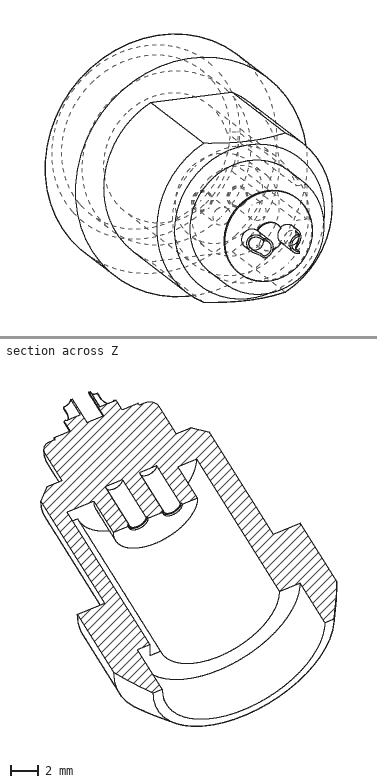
import cadquery as cq
import math

total_length = 26.7
head_taper_end = 3.0
head_end = 8.97
body_end = 20.4
rear_end = 23.98
insulator_end = 24.16
boss_end = 24.3

head_radius = 9.252
head_front_radius = 7.5
taper_bulge = 0.05
body_radius = 7.0
body_chamfer_length = 1.0
body_chamfer_height = 1.01
flat_half_height = 6.2
rear_radius = 4.75
rear_fillet = 0.8

mouth_radius = 6.73
mouth_depth = 4.05
socket_radius = 5.02
socket_depth = 17.62
key_reach = 5.7
key_width = 2.7
insulator_radius = 3.5
insulator_start = 14.42
boss_radius = 1.1

contact_offset = 1.42
contact_hole_radius = 0.8
contact_recess = 0.15
contact_bore_radius = 0.7
contact_bore_depth = 4.0
pin_radius = 0.75
cup_radius = 0.6
cup_start = 25.15
cup_arc_radius = 1.07


def rod(start, end, radius, y=0):
    """Cylinder along X between two stations."""
    return cq.Workplane("YZ", origin=(start, y, 0)).circle(radius).extrude(end - start)


def make_head():
    """Round collar whose front end tapers along a slightly bulged arc."""
    rise = head_radius - head_front_radius
    slope_length = math.hypot(head_taper_end, rise)
    taper_middle = (
        head_taper_end / 2 - taper_bulge * rise / slope_length,
        head_front_radius + rise / 2 + taper_bulge * head_taper_end / slope_length,
    )
    profile = (
        cq.Workplane("XY")
        .lineTo(0, head_front_radius)
        .threePointArc(taper_middle, (head_taper_end, head_radius))
        .lineTo(head_end, head_radius)
        .lineTo(head_end, 0)
        .close()
    )
    return profile.revolve(360, (0, 0, 0), (1, 0, 0))


def make_body():
    """Barrel with a chamfered rear end and flats on top and bottom."""
    body = rod(head_end, body_end, body_radius)
    body = body.faces(">X").chamfer(body_chamfer_length, body_chamfer_height)
    flats = cq.Workplane("XY").box(3 * body_end, 3 * body_radius, 2 * flat_half_height)
    return body.intersect(flats)


def make_rear():
    """Rear sleeve with a rounded end."""
    return rod(body_end, rear_end, rear_radius).faces(">X").edges().fillet(rear_fillet)


def make_socket_cut():
    """Stepped bore with a keyway on the +Y side."""
    keyway = cq.Workplane("XY").box(
        socket_depth, key_reach, key_width, centered=(False, False, True)
    )
    return rod(0, mouth_depth, mouth_radius).union(rod(0, socket_depth, socket_radius)).union(keyway)


def make_pin(side):
    """Rear solder pin with a cup opened away from the centre."""
    y = side * contact_offset
    arc_centre_x = cup_start + math.sqrt(cup_arc_radius**2 - (cup_arc_radius - pin_radius) ** 2)
    opening = (
        cq.Workplane("XY", origin=(0, y + side * cup_arc_radius, -pin_radius))
        .moveTo(arc_centre_x - cup_arc_radius, 0)
        .threePointArc(
            (arc_centre_x - cup_arc_radius * math.sqrt(0.5), -side * cup_arc_radius * math.sqrt(0.5)),
            (arc_centre_x, -side * cup_arc_radius),
        )
        .lineTo(total_length, -side * cup_arc_radius)
        .lineTo(total_length, 0)
        .close()
        .extrude(2 * pin_radius)
    )
    pin = rod(rear_end, total_length, pin_radius, y)
    return pin.cut(opening).cut(rod(cup_start, total_length, cup_radius, y))


def make_contact_hole(side):
    """Front contact bore with a shallow wider recess at its mouth."""
    y = side * contact_offset
    recess = rod(insulator_start, insulator_start + contact_recess, contact_hole_radius, y)
    bore = rod(insulator_start, insulator_start + contact_bore_depth, contact_bore_radius, y)
    return recess.union(bore)


result = make_head().union(make_body()).union(make_rear())
result = result.cut(make_socket_cut())
result = result.union(rod(insulator_start, insulator_end, insulator_radius))
result = result.union(rod(insulator_end, boss_end, boss_radius))
for side in (-1, 1):
    result = result.cut(make_contact_hole(side)).union(make_pin(side))